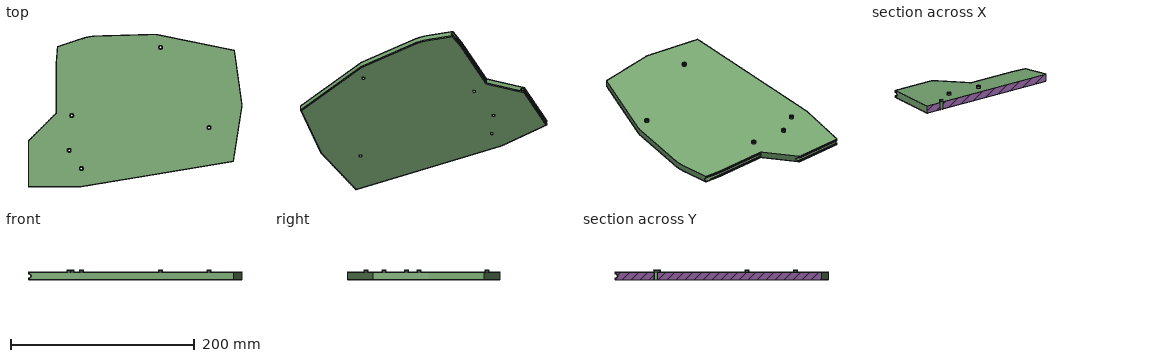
import cadquery as cq

length = 232.8
width = 166.3
plate_thickness = 8.8
bottom_chamfer = 1.0
step_x = 30.3
step_bottom_y = 80.3
step_top_y = 135.0
lower_edge_top_y = step_bottom_y - step_x

total_height = 11.0
boss_diameter = 4.5
bore_diameter = 3.0
boss_centers = [(144.0, 152.0), (47.3, 77.8), (44.5, 39.8), (57.7, 20.0), (196.8, 64.5)]

mouth_height = 4.0
cavity_height = 6.0
lip_thickness = 1.0
groove_depth = 3.3
groove_center_z = plate_thickness / 2


def make_plate():
    outline = (
        cq.Workplane("XY")
        .moveTo(0, 0)
        .lineTo(56.5, 0)
        .lineTo(223.3, 27.7)
        .lineTo(length, 88.7)
        .lineTo(224.5, 148.8)
        .lineTo(138.8, width)
        .lineTo(72.2, 164.5)
        .threePointArc((64.0, 163.2), (56.1, 161.0))
        .lineTo(31.7, 152.7)
        .lineTo(step_x, step_top_y)
        .lineTo(step_x, step_bottom_y)
        .lineTo(0, lower_edge_top_y)
        .close()
    )
    return outline.extrude(plate_thickness).faces("<Z").chamfer(bottom_chamfer)


def make_groove(edge_x, start_y, end_y):
    """Groove cutter running along Y, sunk into the edge at edge_x."""
    lip_back_x = edge_x + lip_thickness
    upper_half = [
        (edge_x, mouth_height / 2),
        (lip_back_x, mouth_height / 2),
        (lip_back_x, cavity_height / 2),
    ]
    lower_half = [(x, -z) for x, z in reversed(upper_half)]
    profile = upper_half + [(edge_x + groove_depth, 0)] + lower_half
    plane = cq.Workplane("XZ", origin=(0, start_y, groove_center_z))
    return plane.polyline(profile).close().extrude(start_y - end_y)


def make_cylinders(diameter):
    return cq.Workplane("XY").pushPoints(boss_centers).circle(diameter / 2).extrude(total_height)


result = (
    make_plate()
    .cut(make_groove(0, 0, lower_edge_top_y + groove_depth))
    .cut(make_groove(step_x, step_bottom_y, width))
    .union(make_cylinders(boss_diameter))
    .cut(make_cylinders(bore_diameter))
)